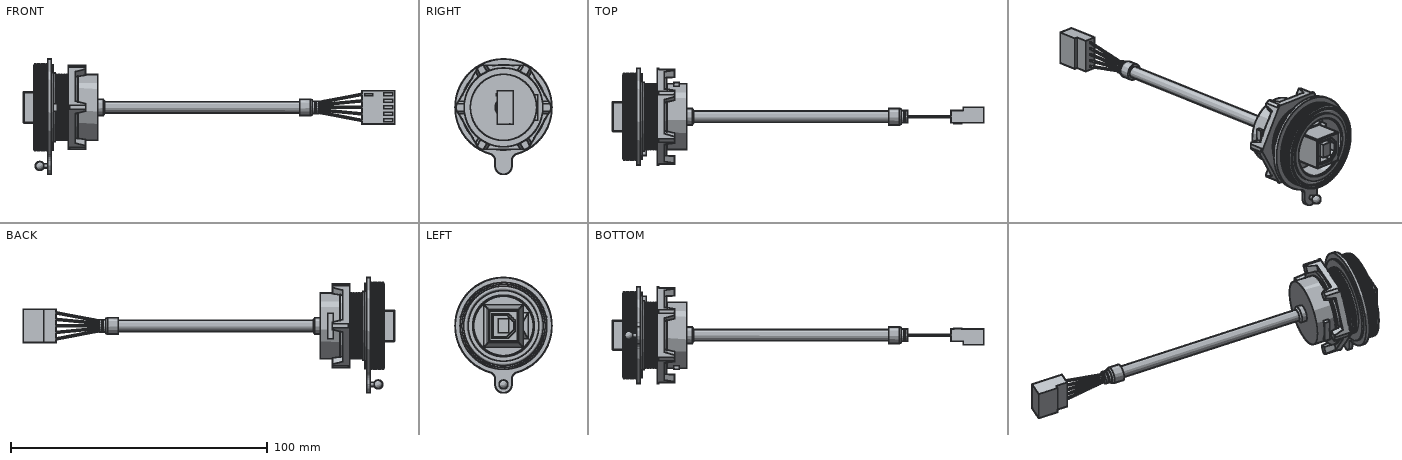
import cadquery as cq
import math


NOSE_WIDTH = 11.7
NOSE_HEIGHT = 12.3
NOSE_CHAMFER = 0.5
SOCKET_WIDTH = 7.8
SOCKET_HEIGHT = 8.4
SOCKET_CHAMFER = 2.6
SOCKET_DEPTH = 7.3
TONGUE_WIDTH = 3.9
TONGUE_HEIGHT = 5.5
TONGUE_SETBACK = 0.7
LEAD_IN = 0.6
PLINTH_WIDTH = 15.4
PLINTH_HEIGHT = 16.5
PLINTH_SETBACK = 0.9
PLINTH_REAR_LENGTH = 1.2
PLINTH_FRONT_LENGTH = 2.3

WEDGE_INNER_Y = -PLINTH_WIDTH / 2
WEDGE_OUTER_Y = -9.6
WEDGE_HALF_HEIGHT = 5.1
WEDGE_TIP_HALF_HEIGHT = 1.7
WEDGE_LENGTH = 2.9

COLLAR_FRONT_X = 4.2
COLLAR_RADIUS = 17.0
COLLAR_TURNS = 6
BORE_RADIUS = 11.6
BORE_FLOOR_X = 13.8
BORE_CHAMFER = 0.5
BEAD_CENTER_RADIUS = 14.7
BEAD_RADIUS = 0.9
BEAD_SETBACK = 0.1

FLANGE_X = 9.6
FLANGE_THICKNESS = 1.5
FLANGE_RADIUS = 18.93
TAB_RADIUS = 3.3
TAB_TIP_Z = -26.18
TAB_FILLET = 2.5
BALL_X = 6.5
BALL_RADIUS = 1.7
BALL_STEM_RADIUS = 0.9

SEAT_REAR_X = 11.7
SEAT_RADIUS = 16.7
SPIGOT_REAR_X = 12.6
SPIGOT_RADIUS = 13.5
KEY_REAR_X = 13.3
KEY_REACH = 15.2
KEY_HEIGHT = 2.9

HOUSING_RADIUS = 12.9
HOUSING_THREAD_END_X = 21.5
HOUSING_TURNS = 9
HOUSING_REAR_X = 29.2
LUG_X = 24.1
LUG_LENGTH = 2.2
LUG_REACH = 13.3
LUG_HEIGHT = 9.9
THREAD_DEPTH = 0.7
CREST_FRACTION = 0.2

CABLE_DIAMETER = 4.5
GLAND_DIAMETER = 6.5
GLAND_LENGTH = 2.0
GLAND_TAPER_LENGTH = 0.7
SLEEVE_X = 107.9
SLEEVE_LENGTH = 4.0
SLEEVE_TAPER_LENGTH = 0.9
SLEEVE_SMALL_RADIUS = 2.9
FERRULE_RADIUS = 2.5
FERRULE_END_X = 115.3
FERRULE_GROOVE_X = 113.9
FERRULE_GROOVE_WIDTH = 0.5
FERRULE_GROOVE_DEPTH = 0.3

WIRE_COUNT = 5
WIRE_RADIUS = 0.36
WIRE_START_PITCH = 0.95
WIRE_END_PITCH = 2.54
PLUG_X = 132.1
PLUG_END_X = 145.0
PLUG_HEIGHT = 13.0
PLUG_HALF_DEPTH = 2.5
PLUG_RIDGE_X = 136.9
PLUG_RIDGE_HEIGHT = 1.3
WINDOW_X = 140.7
WINDOW_LENGTH = 3.5
WINDOW_HEIGHT = 1.2
WINDOW_DEPTH = 0.9
LATCH_X = 133.3
LATCH_LENGTH = 3.0
LATCH_Z = 5.0
LATCH_HEIGHT = 0.7
LATCH_RISE = 0.3

NUT_X = 17.5
NUT_BASE_THICKNESS = 2.8
NUT_LENGTH = 6.8
NUT_CORNER_RADIUS = FLANGE_RADIUS
NUT_RIM_THICKNESS = 0.7
NUT_TRIM_RADIUS = 18.5
NUT_RING_X = 21.3
NUT_WALL_INNER_RADIUS = 15.4
POST_ROOT_WIDTH = 5.0
POST_END_WIDTH = 2.9
HEX_SIDES = 6


def plane_at(x):
    """Plane facing +X, with local x along +Y and local y along +Z."""
    return cq.Workplane("YZ", origin=(x, 0, 0))


def cylinder(start_x, end_x, radius):
    return plane_at(start_x).circle(radius).extrude(end_x - start_x)


def block(start_x, end_x, y_range, z_range):
    low_y, high_y = y_range
    low_z, high_z = z_range
    return cq.Workplane("XY").box(
        end_x - start_x, high_y - low_y, high_z - low_z, centered=False
    ).translate((start_x, low_y, low_z))


def centered_block(start_x, end_x, width, height):
    return block(start_x, end_x, (-width / 2, width / 2), (-height / 2, height / 2))


def revolved(profile):
    """Turn an (x, radius) outline about the X axis."""
    return cq.Workplane("XY").polyline(profile).close().revolve(360, (0, 0, 0), (1, 0, 0))


def threaded_cylinder(start_x, end_x, crest_radius, turns):
    """Cylinder with evenly spaced ring-shaped thread teeth."""
    pitch = (end_x - start_x) / turns
    crest = pitch * CREST_FRACTION
    root_radius = crest_radius - THREAD_DEPTH
    profile = [(start_x, 0)]
    for turn in range(turns):
        tooth_x = start_x + turn * pitch
        middle_x = tooth_x + pitch / 2
        profile.append((tooth_x, root_radius))
        profile.append((middle_x - crest / 2, crest_radius))
        profile.append((middle_x + crest / 2, crest_radius))
    profile.append((end_x, root_radius))
    profile.append((end_x, 0))
    return revolved(profile)


def make_flange():
    """Round flange with a filleted lanyard tab at the bottom."""
    tab_center_z = TAB_TIP_Z + TAB_RADIUS
    tab_end_x = FLANGE_X + FLANGE_THICKNESS
    tab = block(FLANGE_X, tab_end_x, (-TAB_RADIUS, TAB_RADIUS), (tab_center_z, 0))
    tab_tip = cylinder(FLANGE_X, tab_end_x, TAB_RADIUS).translate((0, 0, tab_center_z))
    flange = cylinder(FLANGE_X, tab_end_x, FLANGE_RADIUS).union(tab).union(tab_tip)
    corner_z = -math.sqrt(FLANGE_RADIUS ** 2 - TAB_RADIUS ** 2)
    middle_x = FLANGE_X + FLANGE_THICKNESS / 2
    for side in (-1, 1):
        corner = cq.selectors.NearestToPointSelector((middle_x, side * TAB_RADIUS, corner_z))
        flange = flange.edges("|X").edges(corner).fillet(TAB_FILLET)
    stem = cylinder(BALL_X, FLANGE_X, BALL_STEM_RADIUS).translate((0, 0, tab_center_z))
    ball = cq.Workplane("XY").sphere(BALL_RADIUS).translate((BALL_X, 0, tab_center_z))
    return flange.union(stem).union(ball)


def make_shell():
    """Front collar, flange, shoulders and rear housing, bored from the front."""
    shell = make_flange()
    shell = shell.union(threaded_cylinder(COLLAR_FRONT_X, FLANGE_X, COLLAR_RADIUS, COLLAR_TURNS))
    shell = shell.union(cylinder(FLANGE_X, SEAT_REAR_X, SEAT_RADIUS))
    shell = shell.union(cylinder(SEAT_REAR_X, SPIGOT_REAR_X, SPIGOT_RADIUS))
    shell = shell.union(
        threaded_cylinder(SPIGOT_REAR_X, HOUSING_THREAD_END_X, HOUSING_RADIUS, HOUSING_TURNS)
    )
    shell = shell.union(cylinder(HOUSING_THREAD_END_X, HOUSING_REAR_X, HOUSING_RADIUS))
    key = block(SEAT_REAR_X, KEY_REAR_X, (-KEY_REACH, -BORE_RADIUS), (-KEY_HEIGHT / 2, KEY_HEIGHT / 2))
    lug = block(
        LUG_X, LUG_X + LUG_LENGTH, (BORE_RADIUS, LUG_REACH), (-LUG_HEIGHT / 2, LUG_HEIGHT / 2)
    )
    bore = revolved([
        (COLLAR_FRONT_X, 0),
        (COLLAR_FRONT_X, BORE_RADIUS + BORE_CHAMFER),
        (COLLAR_FRONT_X + BORE_CHAMFER, BORE_RADIUS),
        (BORE_FLOOR_X, BORE_RADIUS),
        (BORE_FLOOR_X, 0),
    ])
    return shell.union(key).union(lug).cut(bore).cut(make_face_groove())


def make_face_groove():
    """Ring groove in the front face whose floor is a rounded sealing bead."""
    inner_radius = BEAD_CENTER_RADIUS - BEAD_RADIUS
    outer_radius = BEAD_CENTER_RADIUS + BEAD_RADIUS
    bead_tip_x = COLLAR_FRONT_X + BEAD_SETBACK
    floor_x = bead_tip_x + BEAD_RADIUS
    groove = (
        cq.Workplane("XY")
        .moveTo(COLLAR_FRONT_X, inner_radius)
        .lineTo(floor_x, inner_radius)
        .threePointArc((bead_tip_x, BEAD_CENTER_RADIUS), (floor_x, outer_radius))
        .lineTo(COLLAR_FRONT_X, outer_radius)
        .close()
    )
    return groove.revolve(360, (0, 0, 0), (1, 0, 0))


def make_plinth_stage(base_x, length, inset):
    """One tapered stage of the plinth, narrowing toward the front."""
    base_width = PLINTH_WIDTH - 2 * inset
    base_height = PLINTH_HEIGHT - 2 * inset
    stage = plane_at(base_x).rect(base_width, base_height)
    stage = stage.workplane(offset=-length)
    stage = stage.rect(base_width - 2 * PLINTH_SETBACK, base_height - 2 * PLINTH_SETBACK)
    return stage.loft(ruled=True)


def make_socket_opening(depth, margin):
    """D-shaped opening with two cut corners, widened by a margin on every side."""
    half_width = SOCKET_WIDTH / 2 + margin
    half_height = SOCKET_HEIGHT / 2 + margin
    cut_y = SOCKET_CHAMFER - half_width
    cut_z = half_height - SOCKET_CHAMFER
    return plane_at(0).polyline([
        (half_width, -half_height),
        (half_width, half_height),
        (cut_y, half_height),
        (-half_width, cut_z),
        (-half_width, -cut_z),
        (cut_y, -half_height),
    ]).close().extrude(depth)


def make_socket():
    """Tapered plinth and nose with the D-shaped socket and its tongue."""
    middle_x = BORE_FLOOR_X - PLINTH_REAR_LENGTH
    front_x = middle_x - PLINTH_FRONT_LENGTH
    nose = centered_block(0, front_x, NOSE_WIDTH, NOSE_HEIGHT)
    nose = nose.edges("|X or <X").chamfer(NOSE_CHAMFER)
    nose = nose.cut(make_socket_opening(SOCKET_DEPTH, 0))
    nose = nose.cut(make_socket_opening(LEAD_IN, LEAD_IN))
    tongue = centered_block(TONGUE_SETBACK, SOCKET_DEPTH, TONGUE_WIDTH, TONGUE_HEIGHT)
    nose = nose.union(tongue)
    nose = nose.union(make_plinth_stage(middle_x, PLINTH_FRONT_LENGTH, PLINTH_SETBACK))
    return nose.union(make_plinth_stage(BORE_FLOOR_X, PLINTH_REAR_LENGTH, 0))


def make_wedge():
    """Keying wedge on the bore floor, narrowing toward the nose and the front."""
    base = [
        (WEDGE_INNER_Y, -WEDGE_HALF_HEIGHT),
        (WEDGE_OUTER_Y, -WEDGE_HALF_HEIGHT),
        (WEDGE_OUTER_Y, WEDGE_HALF_HEIGHT),
        (WEDGE_INNER_Y, WEDGE_HALF_HEIGHT),
    ]
    tip = [
        (WEDGE_INNER_Y, -WEDGE_TIP_HALF_HEIGHT),
        (WEDGE_OUTER_Y, -WEDGE_HALF_HEIGHT),
        (WEDGE_OUTER_Y, WEDGE_HALF_HEIGHT),
        (WEDGE_INNER_Y, WEDGE_TIP_HALF_HEIGHT),
    ]
    wedge = plane_at(BORE_FLOOR_X).polyline(base).close()
    return wedge.workplane(offset=-WEDGE_LENGTH).polyline(tip).close().loft(ruled=True)


def make_cable():
    """Gland, cable, crimp sleeve and ferrule as one turned shape."""
    cable_radius = CABLE_DIAMETER / 2
    gland_radius = GLAND_DIAMETER / 2
    gland_end_x = HOUSING_REAR_X + GLAND_LENGTH
    sleeve_end_x = SLEEVE_X + SLEEVE_LENGTH
    taper_end_x = sleeve_end_x + SLEEVE_TAPER_LENGTH
    cable = revolved([
        (HOUSING_REAR_X, 0),
        (HOUSING_REAR_X, gland_radius),
        (gland_end_x, gland_radius),
        (gland_end_x + GLAND_TAPER_LENGTH, cable_radius),
        (SLEEVE_X, cable_radius),
        (SLEEVE_X, gland_radius),
        (sleeve_end_x, gland_radius),
        (taper_end_x, SLEEVE_SMALL_RADIUS),
        (taper_end_x, FERRULE_RADIUS),
        (FERRULE_END_X, FERRULE_RADIUS),
        (FERRULE_END_X, 0),
    ])
    groove_end_x = FERRULE_GROOVE_X + FERRULE_GROOVE_WIDTH
    groove = cylinder(FERRULE_GROOVE_X, groove_end_x, FERRULE_RADIUS).cut(
        cylinder(FERRULE_GROOVE_X, groove_end_x, FERRULE_RADIUS - FERRULE_GROOVE_DEPTH)
    )
    return cable.cut(groove)


def make_wire(index):
    """One straight wire from inside the ferrule to inside the plug."""
    place = index - (WIRE_COUNT - 1) / 2
    run = PLUG_X - FERRULE_END_X
    slope = place * (WIRE_END_PITCH - WIRE_START_PITCH) / run
    embed = 2 * WIRE_RADIUS
    start_x = FERRULE_END_X - embed
    start = cq.Vector(start_x, 0, place * WIRE_START_PITCH - slope * embed)
    direction = cq.Vector(1, 0, slope)
    length = (run + 2 * embed) * direction.Length
    return cq.Workplane(cq.Solid.makeCylinder(WIRE_RADIUS, length, start, direction))


def make_plug():
    """Crimp plug with a raised rear ridge, contact windows and a latch bar."""
    half_height = PLUG_HEIGHT / 2
    z_range = (-half_height, half_height)
    plug = block(PLUG_X, PLUG_END_X, (-PLUG_HALF_DEPTH, PLUG_HALF_DEPTH), z_range)
    ridge_top = PLUG_HALF_DEPTH + PLUG_RIDGE_HEIGHT
    plug = plug.union(block(PLUG_RIDGE_X, PLUG_END_X, (0, ridge_top), z_range))
    for index in range(WIRE_COUNT):
        center_z = (index - (WIRE_COUNT - 1) / 2) * WIRE_END_PITCH
        plug = plug.cut(block(
            WINDOW_X,
            WINDOW_X + WINDOW_LENGTH,
            (-PLUG_HALF_DEPTH, WINDOW_DEPTH - PLUG_HALF_DEPTH),
            (center_z - WINDOW_HEIGHT / 2, center_z + WINDOW_HEIGHT / 2),
        ))
    latch = block(
        LATCH_X,
        LATCH_X + LATCH_LENGTH,
        (-PLUG_HALF_DEPTH - LATCH_RISE, 0),
        (LATCH_Z - LATCH_HEIGHT / 2, LATCH_Z + LATCH_HEIGHT / 2),
    )
    return plug.union(latch)


def make_connector():
    """Complete connector: shell, socket, cable, wires and plug."""
    connector = make_shell().union(make_socket()).union(make_wedge())
    connector = connector.union(make_cable()).union(make_plug())
    for index in range(WIRE_COUNT):
        connector = connector.union(make_wire(index))
    return connector


def make_nut():
    """Hexagonal panel nut whose rear wall is notched into six corner posts."""
    end_x = NUT_X + NUT_LENGTH
    floor_x = NUT_X + NUT_BASE_THICKNESS
    hexagon = plane_at(NUT_X).polygon(HEX_SIDES, 2 * NUT_CORNER_RADIUS).extrude(NUT_LENGTH)
    rim = cylinder(NUT_X, NUT_X + NUT_RIM_THICKNESS, NUT_CORNER_RADIUS)
    trimmed = rim.union(cylinder(NUT_X, end_x, NUT_TRIM_RADIUS))
    nut = hexagon.intersect(trimmed)
    ring = cylinder(NUT_X, NUT_RING_X, NUT_WALL_INNER_RADIUS)
    base = nut.intersect(cylinder(NUT_X, floor_x, NUT_CORNER_RADIUS))
    wall = nut.cut(cylinder(NUT_X, end_x, NUT_WALL_INNER_RADIUS))
    post_blank = cq.Workplane("XY").polyline([
        (floor_x, -POST_ROOT_WIDTH / 2),
        (end_x, -POST_END_WIDTH / 2),
        (end_x, POST_END_WIDTH / 2),
        (floor_x, POST_ROOT_WIDTH / 2),
    ]).close().extrude(NUT_CORNER_RADIUS)
    nut = base.union(ring)
    for corner in range(HEX_SIDES):
        angle = (corner + 0.5) * 360 / HEX_SIDES
        nut = nut.union(wall.intersect(post_blank.rotate((0, 0, 0), (1, 0, 0), angle)))
    return nut.cut(cylinder(NUT_X, end_x, HOUSING_RADIUS))


connector = make_connector()
nut = make_nut()

result = cq.Compound.makeCompound([connector.val(), nut.val()])